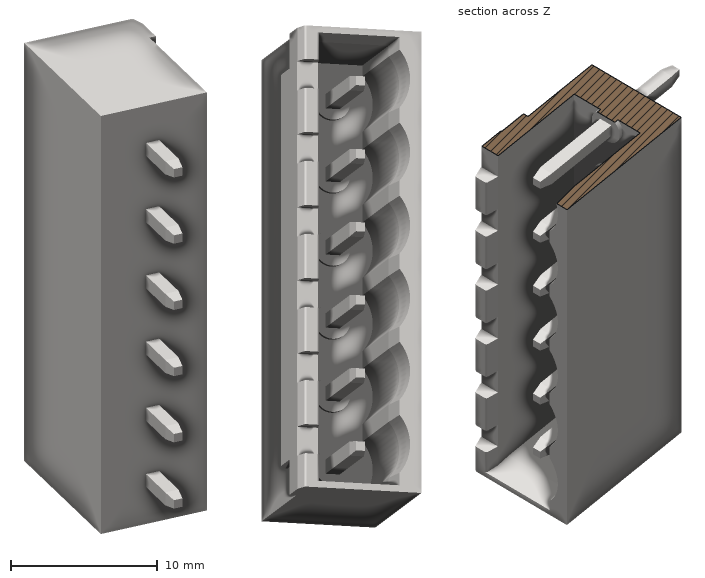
import cadquery as cq
import math


body_depth = 12.0
body_height = 8.02
body_length = 32.08

pin_count = 6
end_margin = 3.35
pin_pitch = (body_length - 2 * end_margin) / (pin_count - 1)
pin_y = 3.9
pin_width = 1.0
tip_width = 0.65
tip_length = 1.0
pin_front_x = 1.4
tail_length = 4.0
pin_positions = [-body_length / 2 + end_margin + i * pin_pitch for i in range(pin_count)]

cavity_depth = 8.98
lead_in_depth = 2.15
lead_in_flare = 0.2
latch_lead_in_depth = 1.0
end_wall = 0.65
cavity_bottom = 1.73
cavity_top = 7.03
scallop_radius = 2.92

collar_diameter = 2.5
collar_height = 0.32

lip_height = 8.5
lip_depth = 3.0
lip_bevel_depth = 0.9
lip_front_height = 8.2
lip_edge_radius = 0.2
notch_width = 2.02
notch_depth = latch_lead_in_depth

rib_end_x = 5.3
rib_chamfer = 0.13
rib_length = pin_positions[-1] - pin_positions[0] + notch_width


def make_housing():
    """Box with the bevelled latch lip, as one XY section extruded along Z."""
    return (
        cq.Workplane("XY")
        .workplane(offset=-body_length / 2)
        .polyline([
            (0, 0),
            (body_depth, 0),
            (body_depth, body_height),
            (lip_depth, body_height),
            (lip_depth, lip_height),
            (lip_bevel_depth, lip_height),
            (0, lip_front_height),
        ])
        .close()
        .extrude(body_length)
    )


def get_cavity_half_length(flare):
    """Half length of the cavity along Z where its walls stand back by `flare`."""
    return body_length / 2 - end_wall + flare


def draw_cavity_outline(plane, flare):
    """Scalloped YZ outline of the cavity, with all but the latch-side wall set back by `flare`."""
    half_length = get_cavity_half_length(flare)
    bottom = cavity_bottom - flare
    radius = scallop_radius + flare
    half_chord = math.sqrt(radius**2 - (pin_y - bottom)**2)

    outline = plane.moveTo(cavity_top, -half_length).lineTo(bottom, -half_length)
    for z in pin_positions:
        outline = (
            outline.lineTo(bottom, z - half_chord)
            .threePointArc((pin_y - radius, z), (bottom, z + half_chord))
        )
    return outline.lineTo(bottom, half_length).lineTo(cavity_top, half_length).close()


def make_latch_lead_in():
    """Lead-in slope of the latch-side wall, its ends flush with the sloped end walls."""
    inner_flare = lead_in_flare * (1 - latch_lead_in_depth / lead_in_depth)
    mouth_width = 2 * (cavity_top + lead_in_flare - pin_y)
    inner_width = 2 * (cavity_top - pin_y)
    lead_in = (
        cq.Workplane("YZ")
        .rect(mouth_width, 2 * get_cavity_half_length(lead_in_flare))
        .workplane(offset=latch_lead_in_depth)
        .rect(inner_width, 2 * get_cavity_half_length(inner_flare))
        .loft(ruled=True)
    )
    latch_half = cq.Workplane("XY").box(
        latch_lead_in_depth, mouth_width, body_length, centered=(False, False, True)
    )
    return lead_in.intersect(latch_half).translate((0, pin_y, 0))


def make_cavity():
    """Straight pocket with a flared lead-in, to be cut from the housing."""
    mouth = draw_cavity_outline(cq.Workplane("YZ"), lead_in_flare)
    lead_in = draw_cavity_outline(mouth.workplane(offset=lead_in_depth), 0).loft(ruled=True)
    pocket = draw_cavity_outline(cq.Workplane("YZ").workplane(offset=lead_in_depth), 0)
    pocket = pocket.extrude(cavity_depth - lead_in_depth)
    return lead_in.union(pocket).union(make_latch_lead_in())


def round_lip_edges(housing):
    """Round the outer and inner front edges of the latch lip."""
    lip_edges = housing.faces("<X").edges("|Z").filter(lambda edge: edge.Center().y > cavity_top)
    return housing.newObject(lip_edges.vals()).fillet(lip_edge_radius)


def make_notch(z):
    """Shallow gap in the latch lip in line with one pin."""
    notch_height = lip_height - pin_y
    return (
        cq.Workplane("XY")
        .box(notch_depth, notch_height, notch_width, centered=(False, False, True))
        .translate((0, pin_y, z))
    )


def make_rib():
    """Latch rib behind the lip, with its outer edges chamfered."""
    return (
        cq.Workplane("XY")
        .box(rib_end_x - lip_depth, lip_height - body_height, rib_length, centered=(False, False, True))
        .edges(">Y")
        .edges(">X or >Z or <Z")
        .chamfer(rib_chamfer)
        .translate((lip_depth, body_height, 0))
    )


def make_pin_tip():
    """Square taper starting at X = 0 and narrowing toward +X."""
    return (
        cq.Workplane("YZ")
        .rect(pin_width, pin_width)
        .workplane(offset=tip_length)
        .rect(tip_width, tip_width)
        .loft(ruled=True)
    )


def make_pin():
    """Square pin along X with tapered ends and a collar on the cavity floor."""
    shank_start = pin_front_x + tip_length
    shank_end = body_depth + tail_length - tip_length
    shank = cq.Workplane("YZ").workplane(offset=shank_start).rect(pin_width, pin_width)
    collar = cq.Workplane("YZ").workplane(offset=cavity_depth - collar_height).circle(collar_diameter / 2)
    tip = make_pin_tip()
    return (
        shank.extrude(shank_end - shank_start)
        .union(tip.translate((shank_end, 0, 0)))
        .union(tip.mirror("YZ").translate((shank_start, 0, 0)))
        .union(collar.extrude(collar_height))
    )


result = round_lip_edges(make_housing().cut(make_cavity())).union(make_rib())
pin = make_pin()
for pin_z in pin_positions:
    result = result.cut(make_notch(pin_z)).union(pin.translate((0, pin_y, pin_z)))